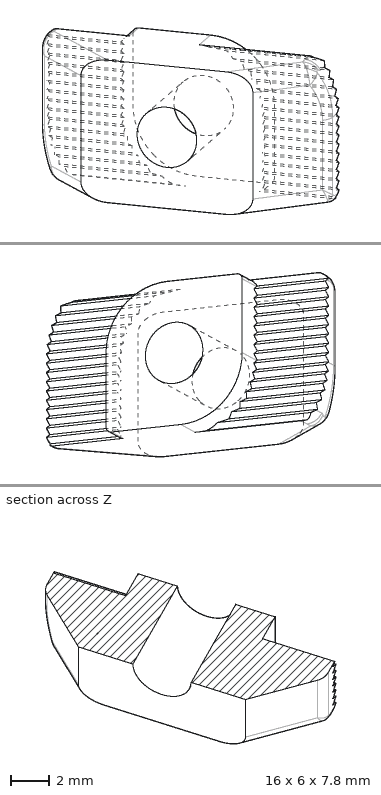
import cadquery as cq
import math

length = 16.0
height = 7.8
depth = 6.0
half_length = length / 2
half_height = height / 2

flange_depth = 4.5
front_half_length = 4.75
taper_depth = 3.0
taper_fillet = 1.0
end_corner_fillet = 0.4
turn_corner_fillet = 1.0
turn_radius = 5.0
turn_start = 0.9

boss_turn_radius = 3.52
boss_corner_fillet = 0.3
hole_diameter = 3.3
boss_root = 3.2

teeth_in_height = 15.6
tooth_pitch = height / teeth_in_height
tooth_depth = tooth_pitch / 2 * math.tan(math.radians(60))


def turning_outline(half_x, half_z, radius, arc_z):
    """Rectangle whose +X+Z and -X-Z corners are cut by arcs tangent to the ends."""
    end_angle = math.asin((half_z - arc_z) / radius)
    centre_x = half_x - radius
    end_x = centre_x + radius * math.cos(end_angle)
    mid_x = centre_x + radius * math.cos(end_angle / 2)
    mid_z = arc_z + radius * math.sin(end_angle / 2)
    return (
        cq.Workplane("XZ")
        .moveTo(half_x, -half_z)
        .lineTo(half_x, arc_z)
        .threePointArc((mid_x, mid_z), (end_x, half_z))
        .lineTo(-half_x, half_z)
        .lineTo(-half_x, -arc_z)
        .threePointArc((-mid_x, -mid_z), (-end_x, -half_z))
        .close()
    )


def make_flange():
    outline = turning_outline(half_length, half_height, turn_radius, turn_start)
    block = outline.extrude(-flange_depth)
    taper = (
        cq.Workplane("XY", origin=(0, 0, -half_height))
        .polyline([
            (-front_half_length, 0),
            (front_half_length, 0),
            (half_length, taper_depth),
            (half_length, flange_depth),
            (-half_length, flange_depth),
            (-half_length, taper_depth),
        ])
        .close()
        .extrude(height)
    )
    return round_flange(block.intersect(taper))


def round_flange(flange):
    tapered_sides = flange.faces("%PLANE").faces("(not |X) and (not |Y) and (not |Z)")
    front_edges = flange.faces("<Y").edges().vals()
    rounded_edges = [
        edge for edge in tapered_sides.edges().vals()
        if not any(edge.isSame(front_edge) for front_edge in front_edges)
    ]
    flange = flange.newObject(rounded_edges).fillet(taper_fillet)
    corner_fillets = [
        (-1, 1, end_corner_fillet),
        (1, -1, end_corner_fillet),
        (1, 1, turn_corner_fillet),
        (-1, -1, turn_corner_fillet),
    ]
    for side_x, side_z, radius in corner_fillets:
        corner = cq.selectors.NearestToPointSelector(
            (side_x * half_length, flange_depth, side_z * half_height)
        )
        flange = flange.edges("|Y").edges(corner).fillet(radius)
    return flange


def make_serrations():
    """Cutter for V grooves along X; each half is the other turned 180 degrees about Y."""
    tooth_count = math.ceil(height / tooth_pitch)
    points = [(half_height, flange_depth)]
    for tooth in range(tooth_count):
        crest_z = half_height - tooth * tooth_pitch
        points.append((crest_z - tooth_pitch / 2, flange_depth - tooth_depth))
        points.append((crest_z - tooth_pitch, flange_depth))
    lid = flange_depth + tooth_depth
    points += [(points[-1][0], lid), (half_height, lid)]
    profile = [(depth_y, z) for z, depth_y in points]
    left_half = cq.Workplane("YZ").polyline(profile).close().extrude(-half_length)
    right_half = left_half.rotate((0, 0, 0), (0, 1, 0), 180)
    return left_half.union(right_half)


def make_boss():
    outline = turning_outline(
        half_height, half_height, boss_turn_radius, half_height - boss_turn_radius
    )
    boss = outline.extrude(-depth)
    boss = boss.edges("|Y").edges("(<X and >Z) or (>X and <Z)").fillet(boss_corner_fillet)
    root = cq.Workplane("XY").box(length, boss_root, length, centered=(True, False, True))
    return boss.cut(root)


flange = make_flange().cut(make_serrations())
hole = cq.Workplane("XZ").circle(hole_diameter / 2).extrude(-depth)
result = flange.union(make_boss()).cut(hole)